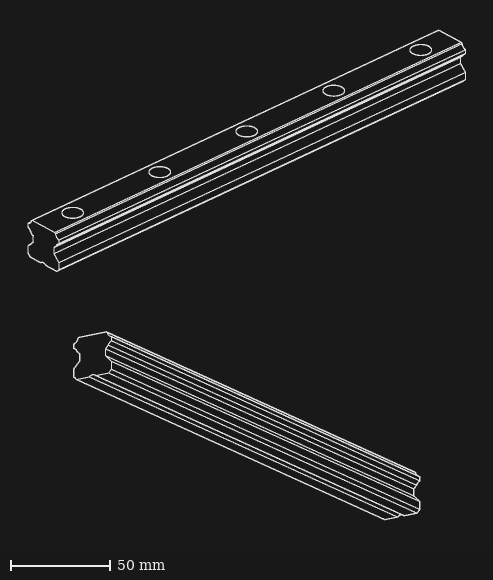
import cadquery as cq

length = 280.0
width = 23.0
height = 22.0
half_width = width / 2

top_half_width = 8.5
upper_flank = 0.5
nose_top_depth = half_width - top_half_width
nose_bottom_depth = 5.3
track_radius = 3.5

waist_half_width = 7.8
lower_flank = 1.7
waist_top_depth = nose_bottom_depth + half_width - waist_half_width
base_top_depth = 16.2
waist_bottom_depth = base_top_depth - (half_width - waist_half_width)
base_chamfer = 1.7

groove_width = 4.0
groove_depth = 0.8
groove_radius = (groove_width**2 / 4 + groove_depth**2) / (2 * groove_depth)

cap_count = 5
cap_pitch = 60.0
cap_diameter = 11.0
cap_recess = 0.15

top = height / 2
bottom = -height / 2
lower_track_end = top - waist_top_depth + lower_flank


def half_profile():
    """Outline of the +X half of the rail section, closed along the middle plane."""
    return (
        cq.Workplane("XZ")
        .moveTo(0, top)
        .lineTo(top_half_width, top)
        .lineTo(top_half_width + upper_flank, top - upper_flank)
        .radiusArc((half_width, top - nose_top_depth), -track_radius)
        .lineTo(half_width, top - nose_bottom_depth)
        .radiusArc((waist_half_width + lower_flank, lower_track_end), -track_radius)
        .lineTo(waist_half_width, top - waist_top_depth)
        .lineTo(waist_half_width, top - waist_bottom_depth)
        .lineTo(half_width, top - base_top_depth)
        .lineTo(half_width, bottom + base_chamfer)
        .lineTo(half_width - base_chamfer, bottom)
        .lineTo(groove_width / 2, bottom)
        .radiusArc((0, bottom + groove_depth), -groove_radius)
        .close()
    )


def make_rail():
    """Extrude one half of the section and mirror it across the middle plane."""
    half = half_profile().extrude(length / 2, both=True)
    return half.union(half.mirror("YZ")).clean()


def cap_seats():
    """Shallow round recesses for the bolt-hole caps, centred along the rail."""
    return (
        cq.Workplane("XY", origin=(0, 0, top))
        .rarray(2.8, cap_pitch, 1, cap_count)
        .circle(cap_diameter / 2)
        .extrude(-cap_recess)
    )


result = make_rail().cut(cap_seats())